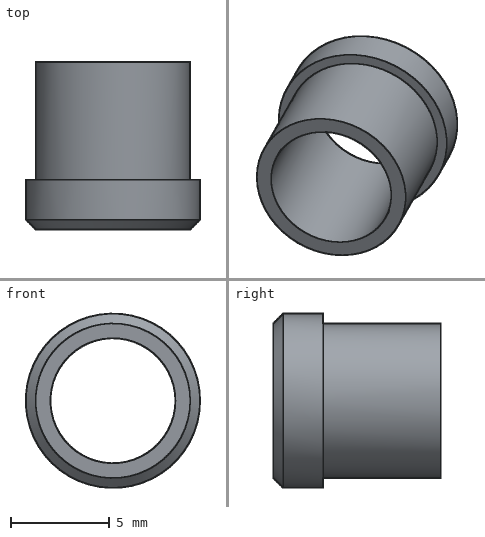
import cadquery as cq

flange_diameter = 8.89
flange_length = 2.54
flange_chamfer = 0.508
bore_diameter = 6.35
total_length = 8.534

sleeve_diameter = flange_diameter - 2 * flange_chamfer


def cylinder_along_y(diameter, length):
    """Solid cylinder from the flange end face at Y = 0 toward +Y."""
    return cq.Workplane("XZ").circle(diameter / 2).extrude(-length)


def make_flange():
    """Flange with its outer rim chamfered at the -Y end."""
    flange = cylinder_along_y(flange_diameter, flange_length)
    return flange.faces("<Y").chamfer(flange_chamfer)


sleeve = cylinder_along_y(sleeve_diameter, total_length)
bore = cylinder_along_y(bore_diameter, total_length)

result = make_flange().union(sleeve).cut(bore)